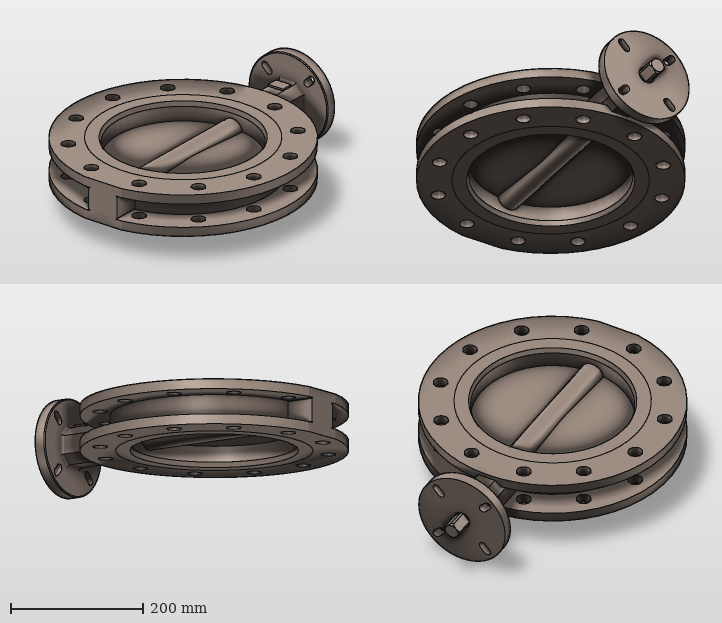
import cadquery as cq
import math


overall_length = 511.0

ring_dia = 406.0
ring_height = 69.5
rim_thickness = 15.5
groove_dia = 316.0
bottom_flat_width = 69.5
bolt_count = 12
bolt_circle_dia = 350.0
bolt_hole_dia = 22.0

liner_dia = 298.5
bore_dia = 248.5
bore_chamfer_width = 3.0
bore_chamfer_height = 7.5

neck_width = 57.0
neck_corner_cut = 14.5
boss_width = 54.0
boss_corner_cut = 9.0

top_flange_dia = 150.0
top_flange_thickness = 18.0
top_flange_y = 279.0
top_flange_chamfer = 1.5
neck_fillet = 5.0
slot_count = 4
slot_width = 12.0
slot_inner_radius = 51.0
slot_outer_radius = 62.5

disc_rim_thickness = 5.0
disc_centre_thickness = 18.5
hub_dia = 39.0
hub_length = 244.5

stem_dia = 27.0
stem_square = 22.0
stem_bottom_y = -173.5
stem_chamfer = 2.5

plate_length = 20.0
plate_thickness = 3.0
plate_centre_y = 240.0

bore_radius = bore_dia / 2
groove_height = ring_height - 2 * rim_thickness
top_flange_underside_y = top_flange_y - top_flange_thickness
bottom_flat_y = -math.sqrt((ring_dia / 2) ** 2 - (bottom_flat_width / 2) ** 2)
stem_top_y = bottom_flat_y + overall_length
neck_flat_width = neck_width - 2 * neck_corner_cut


def plane_at_y(y):
    """Plane across the stem axis at height y, with its normal along +Y."""
    return cq.Plane(origin=(0, y, 0), xDir=(1, 0, 0), normal=(0, 1, 0))


def round_bar(diameter, start_y, end_y):
    """Cylinder along the stem axis."""
    return cq.Workplane(plane_at_y(start_y)).circle(diameter / 2).extrude(end_y - start_y)


def cut_corner_bar(width, corner_cut, start_y, end_y):
    """Square bar along the stem axis with its four long edges cut at 45 degrees."""
    bar = cq.Workplane(plane_at_y(start_y)).rect(width, width).extrude(end_y - start_y)
    return bar.edges("|Y").chamfer(corner_cut)


def upright_disc(diameter, height):
    """Cylinder about the pipe axis, centred on the origin."""
    return cq.Workplane("XY").circle(diameter / 2).extrude(height / 2, both=True)


def make_ring():
    """Two flanges joined by the wall at the bottom of the outer groove."""
    ring = upright_disc(ring_dia, ring_height)
    groove = upright_disc(ring_dia, groove_height).cut(upright_disc(groove_dia, groove_height))
    return ring.cut(groove)


def make_bolt_holes():
    """Bolt holes through both flanges, straddling the X and Y axes."""
    return (
        cq.Workplane("XY")
        .polarArray(bolt_circle_dia / 2, 180 / bolt_count, 360, bolt_count)
        .circle(bolt_hole_dia / 2)
        .extrude(ring_height / 2, both=True)
    )


def make_neck():
    """Cut-corner neck that flares out under the round actuator flange."""
    top_flange = round_bar(top_flange_dia, top_flange_underside_y, top_flange_y)
    top_flange = top_flange.faces("<Y").edges().chamfer(top_flange_chamfer)
    neck = cut_corner_bar(neck_width, neck_corner_cut, 0, top_flange_underside_y)
    joint = cq.selectors.BoxSelector(
        (-neck_width, top_flange_underside_y - neck_fillet / 2, -neck_width),
        (neck_width, top_flange_underside_y + neck_fillet / 2, neck_width),
        boundingbox=True,
    )
    return neck.union(top_flange).edges(joint).fillet(neck_fillet)


def make_slots():
    """Radial slots through the actuator flange, on its diagonals."""
    slot_length = slot_outer_radius - slot_inner_radius + slot_width
    slot_mid_radius = (slot_inner_radius + slot_outer_radius) / 2
    return (
        cq.Workplane(plane_at_y(top_flange_underside_y))
        .polarArray(slot_mid_radius, 180 / slot_count, 360, slot_count)
        .slot2D(slot_length, slot_width)
        .extrude(top_flange_thickness)
    )


def make_stem():
    """Round stem with a square drive end above the actuator flange, its corners towards X and Z."""
    stem = round_bar(stem_dia, stem_bottom_y, stem_top_y).faces(">Y").edges().chamfer(stem_chamfer)
    drive_length = stem_top_y - top_flange_y
    drive_square = (
        cq.Workplane(plane_at_y(top_flange_y))
        .transformed(rotate=(0, 0, 45))
        .rect(stem_square, stem_square)
        .extrude(drive_length)
    )
    around_drive = round_bar(2 * stem_dia, top_flange_y, stem_top_y).cut(drive_square)
    return stem.cut(around_drive)


def make_housing(stem):
    """Flanged ring with the neck on +Y and the lower stem boss on -Y."""
    lower_boss = cut_corner_bar(boss_width, boss_corner_cut, -ring_dia / 2, 0)
    housing = make_ring().union(make_neck()).union(lower_boss)
    housing = housing.cut(upright_disc(liner_dia, ring_height))
    below_flat = round_bar(ring_dia, -ring_dia, bottom_flat_y)
    return housing.cut(below_flat).cut(make_bolt_holes()).cut(make_slots()).cut(stem)


def make_liner(stem):
    """Sleeve inside the ring, with a steep lead-in at both ends of its bore."""
    half_height = ring_height / 2
    profile = (
        cq.Workplane("XZ")
        .moveTo(liner_dia / 2, -half_height)
        .lineTo(liner_dia / 2, half_height)
        .lineTo(bore_radius + bore_chamfer_width, half_height)
        .lineTo(bore_radius, half_height - bore_chamfer_height)
        .lineTo(bore_radius, bore_chamfer_height - half_height)
        .lineTo(bore_radius + bore_chamfer_width, -half_height)
        .close()
    )
    return profile.revolve(360, (0, 0, 0), (0, 1, 0)).cut(stem)


def make_disc(stem):
    """Closing disc with conical faces and a hub across it for the stem."""
    cones = (
        cq.Workplane("XZ")
        .moveTo(0, -disc_centre_thickness / 2)
        .lineTo(bore_radius, -disc_rim_thickness / 2)
        .lineTo(bore_radius, disc_rim_thickness / 2)
        .lineTo(0, disc_centre_thickness / 2)
        .close()
        .revolve(360, (0, 0, 0), (0, 1, 0))
    )
    hub = round_bar(hub_dia, -hub_length / 2, hub_length / 2)
    return cones.union(hub).cut(stem)


def make_name_plate():
    """Raised plate on the +Z flat of the neck."""
    return (
        cq.Workplane("XY", origin=(0, plate_centre_y, neck_width / 2))
        .rect(neck_flat_width, plate_length)
        .extrude(plate_thickness)
    )


stem = make_stem()
housing = make_housing(stem)
liner = make_liner(stem)
disc = make_disc(stem)
name_plate = make_name_plate()

result = cq.Compound.makeCompound(
    [housing.val(), liner.val(), disc.val(), stem.val(), name_plate.val()]
)